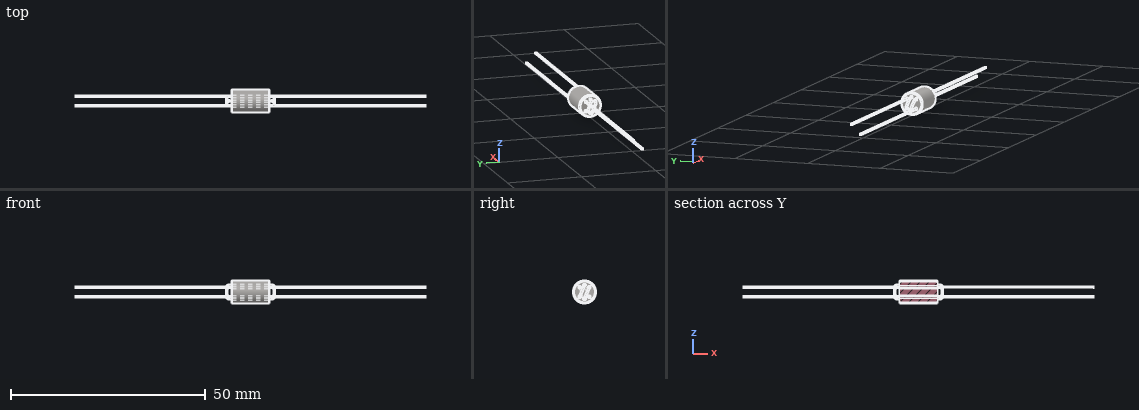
import cadquery as cq
import math

CORE_DIAMETER = 6.0
CORE_LENGTH = 10.0
CORE_EDGE_CHAMFER = 0.35
HOLE_DIAMETER = 0.7
HOLE_CIRCLE_RADIUS = 1.75
HOLE_ANGLES = (45, 90, 135, 225, 270, 315)

WIRE_DIAMETER = 0.5
WIRE_SPAN = 90.0
LOOP_OVERHANG = 1.4
BEND_RADIUS = 0.8

WIRE_ROUTES = ((45, 270, 135), (225, 90, 315))

LEAD_END_X = WIRE_SPAN / 2
TURN_X = CORE_LENGTH / 2 + LOOP_OVERHANG - WIRE_DIAMETER / 2


def hole_center(angle):
    """(Y, Z) of the hole at the given angle on the hole circle."""
    radians = math.radians(angle)
    return HOLE_CIRCLE_RADIUS * math.cos(radians), HOLE_CIRCLE_RADIUS * math.sin(radians)


def make_core():
    end_face = cq.Workplane("YZ", origin=(-CORE_LENGTH / 2, 0, 0))
    core = end_face.circle(CORE_DIAMETER / 2).extrude(CORE_LENGTH)
    core = core.faces("<X or >X").chamfer(CORE_EDGE_CHAMFER)
    centers = [hole_center(angle) for angle in HOLE_ANGLES]
    holes = end_face.pushPoints(centers).circle(HOLE_DIAMETER / 2).extrude(CORE_LENGTH)
    return core.cut(holes)


def rounded_path(corners, radius):
    """Wire through the corner points, with each right-angled corner rounded by an arc."""
    edges = []
    start = corners[0]
    for before, corner, after in zip(corners, corners[1:], corners[2:]):
        to_before = (before - corner).normalized()
        to_after = (after - corner).normalized()
        arc_start = corner + to_before * radius
        arc_end = corner + to_after * radius
        arc_middle = corner + (to_before + to_after) * (radius * (1 - math.sqrt(0.5)))
        edges.append(cq.Edge.makeLine(start, arc_start))
        edges.append(cq.Edge.makeThreePointArc(arc_start, arc_middle, arc_end))
        start = arc_end
    edges.append(cq.Edge.makeLine(start, corners[-1]))
    return cq.Wire.assembleEdges(edges)


def make_wire(route):
    first, middle, last = [hole_center(angle) for angle in route]
    corners = [
        cq.Vector(-LEAD_END_X, *first),
        cq.Vector(TURN_X, *first),
        cq.Vector(TURN_X, *middle),
        cq.Vector(-TURN_X, *middle),
        cq.Vector(-TURN_X, *last),
        cq.Vector(LEAD_END_X, *last),
    ]
    path = rounded_path(corners, BEND_RADIUS)
    profile = cq.Workplane("YZ", origin=corners[0].toTuple()).circle(WIRE_DIAMETER / 2)
    return profile.sweep(cq.Workplane(path))


core = make_core()
wires = [make_wire(route) for route in WIRE_ROUTES]

result = cq.Compound.makeCompound([core.val(), *[wire.val() for wire in wires]])